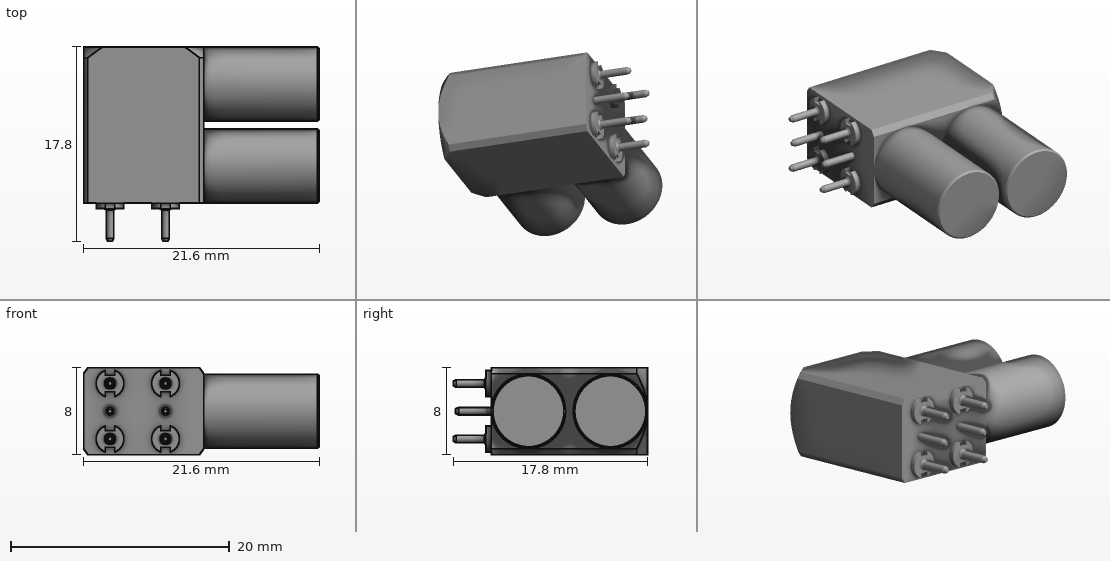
import cadquery as cq

body_length = 11.0
body_depth = 14.3
body_height = 8.0
edge_bevel_x = 0.4
edge_bevel_z = 0.55
back_bevel_height = 1.5

plug_diameter = 6.8
plug_length = 10.55
plug_end_chamfer = 0.15
plug_positions_y = (plug_diameter / 2, body_depth - plug_diameter / 2)

pin_pitch = 5.08
first_pin_x = 2.42
pin_columns_x = (first_pin_x, first_pin_x + pin_pitch)
corner_pin_rows_z = (-pin_pitch / 2, pin_pitch / 2)
pin_diameter = 0.7
pin_tip_diameter = 0.4
pin_tip_length = 0.3
corner_pin_length = 3.5
middle_pin_length = 3.3

disc_diameter = 2.54
disc_thickness = 0.5
notch_width = 0.86
notch_floor_offset = 0.77
collar_diameter = 1.0
collar_taper_height = 0.14


def make_body():
    """Block with bevelled long edges and a back end trimmed by a cone about its Y axis."""
    half_x = body_length / 2
    half_z = body_height / 2
    block = (
        cq.Workplane("XZ")
        .moveTo(half_x - edge_bevel_x, half_z)
        .lineTo(half_x, half_z - edge_bevel_z)
        .lineTo(half_x, edge_bevel_z - half_z)
        .lineTo(half_x - edge_bevel_x, -half_z)
        .lineTo(edge_bevel_x - half_x, -half_z)
        .lineTo(-half_x, edge_bevel_z - half_z)
        .lineTo(-half_x, half_z - edge_bevel_z)
        .lineTo(edge_bevel_x - half_x, half_z)
        .close()
        .extrude(-body_depth)
    )
    base_radius = half_x + back_bevel_height
    envelope = (
        cq.Workplane("XY")
        .moveTo(0, 0)
        .lineTo(base_radius, 0)
        .lineTo(base_radius, body_depth - back_bevel_height)
        .lineTo(half_x, body_depth)
        .lineTo(0, body_depth)
        .close()
        .revolve(360, (0, 0, 0), (0, 1, 0))
    )
    return block.intersect(envelope).translate((half_x, 0, 0))


def make_plug(y):
    """Plain cylinder along +X with a chamfered free end."""
    return (
        cq.Workplane("YZ", origin=(body_length, y, 0))
        .circle(plug_diameter / 2)
        .extrude(plug_length)
        .faces(">X")
        .chamfer(plug_end_chamfer)
    )


def make_pin(x, z, length):
    """Round pin along -Y with a tapered tip."""
    radius = pin_diameter / 2
    return (
        cq.Workplane("XY")
        .moveTo(0, 0)
        .lineTo(radius, 0)
        .lineTo(radius, pin_tip_length - length)
        .lineTo(pin_tip_diameter / 2, -length)
        .lineTo(0, -length)
        .close()
        .revolve(360, (0, 0, 0), (0, 1, 0))
        .translate((x, 0, z))
    )


def make_standoff(x, z):
    """Disc notched above and below the pin, with a low tapered collar in the middle."""
    base = cq.Workplane("XZ", origin=(x, 0, z))
    standoff = base.circle(disc_diameter / 2).extrude(disc_thickness)
    notch_depth = disc_diameter / 2
    notch_centre = notch_floor_offset + notch_depth / 2
    notches = (
        base.pushPoints([(0, notch_centre), (0, -notch_centre)])
        .rect(notch_width, notch_depth)
        .extrude(disc_thickness)
    )
    collar = (
        base.circle(collar_diameter / 2)
        .extrude(disc_thickness + collar_taper_height)
        .faces("<Y")
        .chamfer(collar_taper_height)
    )
    return standoff.cut(notches).union(collar)


result = make_body()
for plug_y in plug_positions_y:
    result = result.union(make_plug(plug_y))
for pin_x in pin_columns_x:
    result = result.union(make_pin(pin_x, 0, middle_pin_length))
    for pin_z in corner_pin_rows_z:
        result = result.union(make_standoff(pin_x, pin_z))
        result = result.union(make_pin(pin_x, pin_z, corner_pin_length))